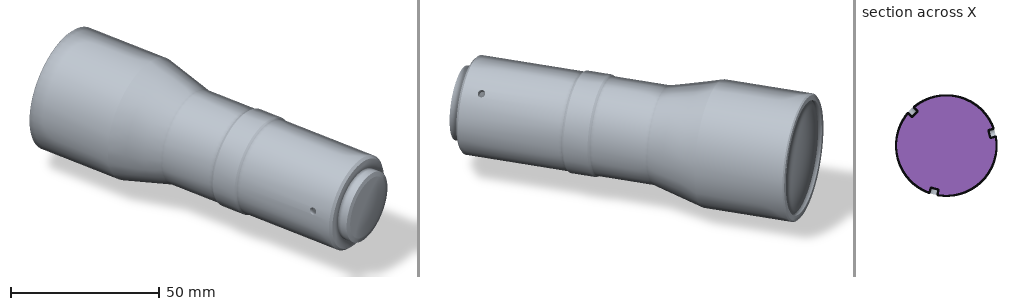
import cadquery as cq
import math

total_length = 121.9
head_end = 31.7
cone_end = 50.2
collar_start = 70.2
collar_end = 80.4
tube_end = 118.0

head_radius = 22.0
tube_radius = 17.0
collar_radius = 17.5
mount_radius = 12.8

head_chamfer = 0.5
collar_bevel_length = 0.9
tube_chamfer = 0.9
mount_bevel_length = 0.4
mount_bevel_height = 1.7

recess_radius = 19.7
recess_depth = 1.3

screw_hole_x = 110.4
screw_hole_diameter = 2.5
screw_hole_depth = 2.0
screw_hole_count = 3
first_screw_angle = 45.0


def revolved_body():
    """Stepped barrel: head, cone, tube with a raised collar, and rear mount."""
    profile = [
        (0, 0),
        (0, head_radius - head_chamfer),
        (head_chamfer, head_radius),
        (head_end, head_radius),
        (cone_end, tube_radius),
        (collar_start, tube_radius),
        (collar_start + collar_bevel_length, collar_radius),
        (collar_end - collar_bevel_length, collar_radius),
        (collar_end, tube_radius),
        (tube_end - tube_chamfer, tube_radius),
        (tube_end, tube_radius - tube_chamfer),
        (tube_end, mount_radius),
        (total_length - mount_bevel_length, mount_radius),
        (total_length, mount_radius - mount_bevel_height),
        (total_length, 0),
    ]
    return cq.Workplane("XY").polyline(profile).close().revolve(360, (0, 0, 0), (1, 0, 0))


def front_recess():
    return cq.Workplane("YZ").circle(recess_radius).extrude(recess_depth)


def screw_hole(angle):
    """Blind radial hole, sunk from the tube surface towards the axis."""
    outward = cq.Vector(0, math.cos(math.radians(angle)), math.sin(math.radians(angle)))
    floor_centre = cq.Vector(screw_hole_x, 0, 0) + outward * (tube_radius - screw_hole_depth)
    return cq.Solid.makeCylinder(screw_hole_diameter / 2, 2 * screw_hole_depth, floor_centre, outward)


result = revolved_body().cut(front_recess())
for index in range(screw_hole_count):
    result = result.cut(cq.Workplane(screw_hole(first_screw_angle + index * 360 / screw_hole_count)))